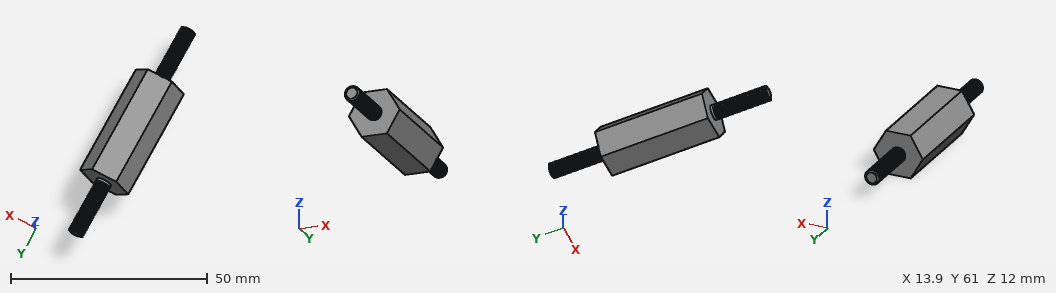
import cadquery as cq
import math

total_length = 61.0
body_length = 30.0
across_flats = 12.0

crest_diameter = 4.0
root_diameter = 3.0
pitch = 0.5
crest_count = 30

across_corners = across_flats / math.cos(math.pi / 6)
crest_radius = crest_diameter / 2
root_radius = root_diameter / 2
body_end = body_length / 2
stud_tip = total_length / 2
first_crest = stud_tip - (crest_count - 0.5) * pitch


def hexagonal_body():
    """Hexagonal bar along Y with flats at top and bottom and corners on X."""
    return (
        cq.Workplane("XZ")
        .polygon(6, across_corners)
        .extrude(body_end, both=True)
    )


def grooved_stud():
    """Stud on the +Y end: a plain neck, then evenly spaced V grooves up to the tip."""
    outline = [(0, body_end), (crest_radius, body_end)]
    for index in range(crest_count):
        crest_y = first_crest + index * pitch
        outline.append((crest_radius, crest_y))
        outline.append((root_radius, crest_y + pitch / 2))
    outline.append((0, stud_tip))
    return cq.Workplane("XY").polyline(outline).close().revolve(360, (0, 0, 0), (0, 1, 0))


stud = grooved_stud()
result = hexagonal_body().union(stud).union(stud.mirror("XZ"))